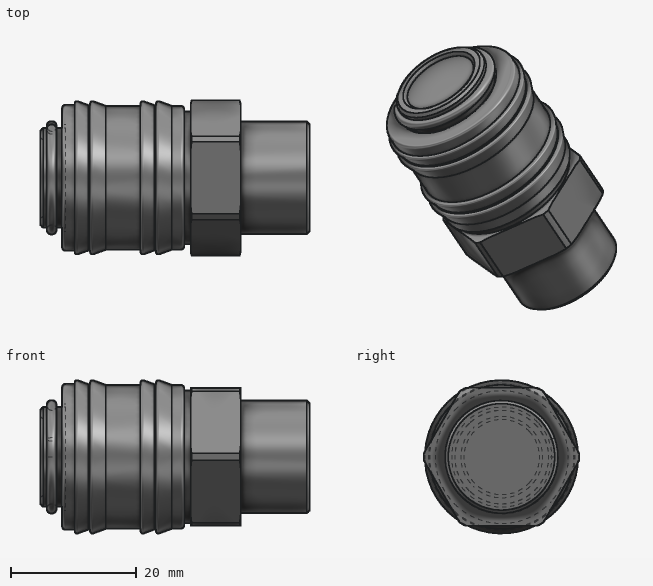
import cadquery as cq
import math


spigot_radius = 15.95 / 2
spigot_chamfer = 0.5
recess_mouth_radius = 6.5
recess_floor_radius = 6.0
recess_depth = 0.5

wire_radius = 0.8
ring_outer_radius = 9.05
ring_center_radius = ring_outer_radius - wire_radius
ring_x = 1.85
ring_gap_angle = 20.0

sleeve_start = 3.5
sleeve_end = 23.0
sleeve_front_radius = 23.3 / 2
sleeve_radius = 22.95 / 2
sleeve_front_fillet = 0.6
sleeve_rear_fillet = 0.6
clearance_radius = 8.5
clearance_depth = 0.5

ridge_radius = 24.45 / 2
ridge_fillet = 0.4
ridge_slope = math.radians(20)
ridge_pair_starts = (5.5, 16.0)
ridge_pitch = 2.46
ridge_valley_radius = 11.6

neck_radius = 21.19 / 2
hex_start = 24.0
hex_end = 32.0
hex_across_flats = 22.0
hex_corner_radius = 24.8 / 2
hex_front_bevel = (0.15, 0.6)
hex_rear_bevel = (0.2, 0.8)
end_radius = 17.97 / 2
end_chamfer = 0.5
total_length = 43.0


def revolve_about_x(profile):
    """Full turn of a closed XY profile about the X axis."""
    return profile.close().revolve(360, (0, 0, 0), (1, 0, 0))


def add_ridge(profile, start, front_radius, back_radius):
    """Continue a profile over one ridge, from the radius before it to the one behind it."""
    arc_x = start + ridge_fillet
    arc_y = ridge_radius - ridge_fillet
    tangent_x = arc_x + ridge_fillet * math.sin(ridge_slope)
    tangent_y = arc_y + ridge_fillet * math.cos(ridge_slope)
    slope_end = tangent_x + (tangent_y - back_radius) / math.tan(ridge_slope)
    return (
        profile.lineTo(start, front_radius)
        .lineTo(start, arc_y)
        .threePointArc((arc_x, ridge_radius), (tangent_x, tangent_y))
        .lineTo(slope_end, back_radius)
    )


def add_ridge_pair(profile, start, front_radius):
    """Continue a profile over two ridges with a short valley between them."""
    profile = add_ridge(profile, start, front_radius, ridge_valley_radius)
    return add_ridge(profile, start + ridge_pitch, ridge_valley_radius, sleeve_radius)


def make_spigot_and_sleeve():
    """Turned front part, from the spigot face to the hexagon."""
    profile = (
        cq.Workplane("XY")
        .moveTo(recess_depth, 0)
        .lineTo(recess_depth, recess_floor_radius)
        .lineTo(0, recess_mouth_radius)
        .lineTo(0, spigot_radius - spigot_chamfer)
        .lineTo(spigot_chamfer, spigot_radius)
        .lineTo(sleeve_start + clearance_depth, spigot_radius)
        .lineTo(sleeve_start + clearance_depth, clearance_radius)
        .lineTo(sleeve_start, clearance_radius)
        .lineTo(sleeve_start, sleeve_front_radius - sleeve_front_fillet)
        .tangentArcPoint((sleeve_start + sleeve_front_fillet, sleeve_front_radius), relative=False)
    )
    first_pair, second_pair = ridge_pair_starts
    profile = add_ridge_pair(profile, first_pair, sleeve_front_radius)
    profile = add_ridge_pair(profile, second_pair, sleeve_radius)
    profile = (
        profile.lineTo(sleeve_end - sleeve_rear_fillet, sleeve_radius)
        .tangentArcPoint((sleeve_end, sleeve_radius - sleeve_rear_fillet), relative=False)
        .lineTo(sleeve_end, neck_radius)
        .lineTo(hex_start, neck_radius)
        .lineTo(hex_start, 0)
    )
    return revolve_about_x(profile)


def make_hexagon():
    """Hexagon with corners on Y, turned down at the corners and bevelled at both ends."""
    across_corners = hex_across_flats / math.cos(math.pi / 6)
    prism = (
        cq.Workplane("YZ", origin=(hex_start, 0, 0))
        .polygon(6, across_corners)
        .extrude(hex_end - hex_start)
    )
    front_length, front_drop = hex_front_bevel
    rear_length, rear_drop = hex_rear_bevel
    turned_blank = revolve_about_x(
        cq.Workplane("XY")
        .moveTo(hex_start, 0)
        .lineTo(hex_start, hex_corner_radius - front_drop)
        .lineTo(hex_start + front_length, hex_corner_radius)
        .lineTo(hex_end - rear_length, hex_corner_radius)
        .lineTo(hex_end, hex_corner_radius - rear_drop)
        .lineTo(hex_end, 0)
    )
    return prism.intersect(turned_blank)


def make_connection_end():
    return (
        cq.Workplane("YZ", origin=(hex_end, 0, 0))
        .circle(end_radius)
        .extrude(total_length - hex_end)
        .faces(">X")
        .chamfer(end_chamfer)
    )


def make_wire(angle):
    """Round wire bent about the X axis, starting on the +Y side and turning through -Z."""
    return (
        cq.Workplane("XY")
        .center(ring_x, ring_center_radius)
        .circle(wire_radius)
        .revolve(angle, (0, -ring_center_radius, 0), (-1, -ring_center_radius, 0))
    )


def make_coupling_body():
    body = make_spigot_and_sleeve().union(make_hexagon()).union(make_connection_end())
    ring_groove = make_wire(360)
    return body.cut(ring_groove)


coupling_body = make_coupling_body()
snap_ring = make_wire(360 - ring_gap_angle)

result = cq.Compound.makeCompound([coupling_body.solids().val(), snap_ring.val()])